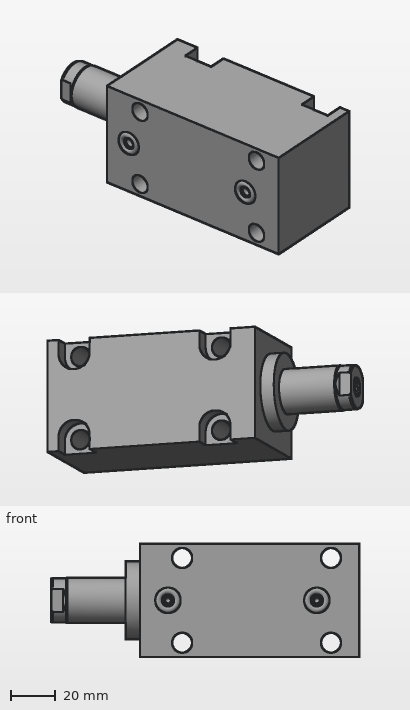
import cadquery as cq

total_length = 137.9
block_start = 39.7
block_height = 50.8
block_depth = 50.8
block_back = 25.1
block_front = block_back - block_depth

flange_start = 33.4
flange_radius = 35.0 / 2
rod_radius = 20.4 / 2
tip_radius = 20.0 / 2
tip_length = 6.8
shoulder_length = 0.5
tip_chamfer_length = 0.8
tip_chamfer_height = 0.3

flat_half_width = 17.1 / 2
flat_length = 5.2
ramp_rise = 2.8

bore_radius = 7.0 / 2
bore_mouth_radius = 8.7 / 2
bore_mouth_depth = 1.1
bore_depth = 19.3

hole_start = 58.6
hole_spacing_x = 66.6
hole_spacing_z = 37.9
hole_diameter = 8.8
slot_width = 14.8
slot_depth = 8.8

port_start = 52.3
ring_section_radius = 1.5
ring_outer_radius = 11.5 / 2
ring_projection = 1.2
port_radius = 2.0
port_mouth_radius = 2.6
port_depth = 4.1
port_inner_radius = 1.4
port_tip_depth = port_depth + port_inner_radius


def make_block():
    return cq.Workplane("XY").box(
        total_length - block_start, block_depth, block_height, centered=(False, False, True)
    ).translate((block_start, block_front, 0))


def revolve_about_rod_axis(points):
    return cq.Workplane("XY").polyline(points).close().revolve(360, (0, 0, 0), (1, 0, 0))


def make_rod():
    rod = revolve_about_rod_axis([
        (0, 0),
        (0, tip_radius - tip_chamfer_height),
        (tip_chamfer_length, tip_radius),
        (tip_length, tip_radius),
        (tip_length + shoulder_length, rod_radius),
        (flange_start, rod_radius),
        (flange_start, flange_radius),
        (block_start, flange_radius),
        (block_start, 0),
    ])
    flat_cut = (
        cq.Workplane("XY")
        .polyline([
            (0, flat_half_width),
            (flat_length, flat_half_width),
            (flat_length + ramp_rise, flat_half_width + ramp_rise),
            (0, flat_half_width + ramp_rise),
        ])
        .close()
        .extrude(rod_radius, both=True)
    )
    return rod.cut(flat_cut).cut(flat_cut.mirror("XZ"))


def make_bore():
    cone_end = bore_mouth_depth + bore_mouth_radius - bore_radius
    return revolve_about_rod_axis([
        (0, 0),
        (0, bore_mouth_radius),
        (bore_mouth_depth, bore_mouth_radius),
        (cone_end, bore_radius),
        (bore_depth, bore_radius),
        (bore_depth, 0),
    ])


def make_mounting_hole(x, side):
    """Through hole and its slot; side is +1 for the top face, -1 for the bottom."""
    z = side * hole_spacing_z / 2
    to_edge = block_height / 2 - hole_spacing_z / 2
    hole = cq.Workplane("XZ", origin=(x, block_back, z)).circle(hole_diameter / 2).extrude(block_depth)
    slot_plane = cq.Workplane("XZ", origin=(x, block_back, z))
    round_end = slot_plane.circle(slot_width / 2).extrude(slot_depth)
    straight = slot_plane.center(0, side * to_edge / 2).rect(slot_width, to_edge).extrude(slot_depth)
    return hole.union(round_end).union(straight)


def make_ring(x):
    centre_y = block_front - ring_projection + ring_section_radius
    centre_radius = ring_outer_radius - ring_section_radius
    return (
        cq.Workplane("XY", origin=(x, centre_y, 0))
        .center(centre_radius, 0)
        .circle(ring_section_radius)
        .revolve(360, (-centre_radius, 0), (-centre_radius, 1))
    )


def make_port(x):
    mouth_depth = port_mouth_radius - port_radius
    return (
        cq.Workplane("XY", origin=(x, block_front, 0))
        .polyline([
            (0, 0),
            (port_mouth_radius, 0),
            (port_radius, mouth_depth),
            (port_radius, port_depth),
            (port_inner_radius, port_depth),
            (0, port_tip_depth),
        ])
        .close()
        .revolve(360, (0, 0), (0, 1))
    )


result = make_block().union(make_rod()).cut(make_bore())
for offset in (0, hole_spacing_x):
    for side in (1, -1):
        result = result.cut(make_mounting_hole(hole_start + offset, side))
    result = result.union(make_ring(port_start + offset))
    result = result.cut(make_port(port_start + offset))